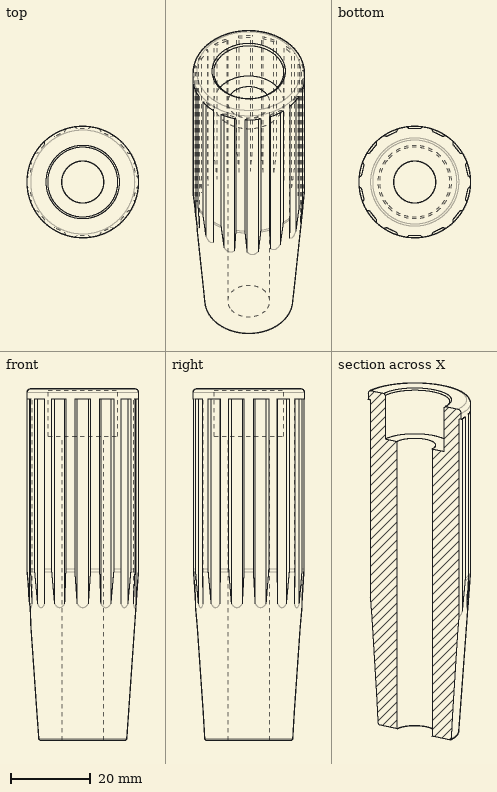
import cadquery as cq
import math

length = 88.0
body_radius = 14.0
taper_radians = math.radians(4.0)
taper_height = 42.5
taper_slope = math.tan(taper_radians)
bottom_radius = body_radius - taper_height * taper_slope
taper_blend = 10.0
top_fillet = 1.0
bottom_fillet = 0.5

hole_diameter = 10.5
counterbore_diameter = 17.5
counterbore_depth = 12.0
counterbore_chamfer = 0.4

groove_count = 14
groove_pitch = 360.0 / groove_count
groove_top = 85.45
groove_bottom = 33.2
groove_floor = bottom_radius + groove_bottom * taper_slope
groove_floor_width = 2.8
groove_mouth_width = 4.0
cutter_clearance = 0.9


def make_body():
    """Solid of revolution about Z with rounded rims."""
    blend_length = taper_blend * math.tan(taper_radians / 2)
    blend_start = taper_height - blend_length * math.cos(taper_radians)
    outline = (
        cq.Workplane("XZ")
        .moveTo(0, 0)
        .lineTo(bottom_radius, 0)
        .lineTo(body_radius - blend_length * math.sin(taper_radians), blend_start)
        .tangentArcPoint((body_radius, taper_height + blend_length), relative=False)
        .lineTo(body_radius, length)
        .lineTo(0, length)
        .close()
    )
    body = outline.revolve(360, (0, 0, 0), (0, 1, 0))
    body = body.faces(">Z").edges().fillet(top_fillet)
    return body.faces("<Z").edges().fillet(bottom_fillet)


def cut_bore(body):
    top_plane = body.faces(">Z").workplane()
    bored = top_plane.cboreHole(hole_diameter, counterbore_diameter, counterbore_depth)
    counterbore_rim = bored.faces(">Z").edges(cq.selectors.RadiusNthSelector(0))
    return counterbore_rim.chamfer(counterbore_chamfer)


def make_groove_cutter():
    """Trapezoidal prism facing -Y; its walls keep their slope beyond the body surface."""
    mouth_distance = math.sqrt(body_radius**2 - (groove_mouth_width / 2) ** 2)
    wall_slope = (groove_mouth_width - groove_floor_width) / (mouth_distance - groove_floor)
    outer_distance = body_radius + cutter_clearance
    outer_width = groove_floor_width + wall_slope * (outer_distance - groove_floor)
    cutter_bottom = groove_bottom - cutter_clearance
    return (
        cq.Workplane("XY", origin=(0, 0, cutter_bottom))
        .moveTo(-groove_floor_width / 2, -groove_floor)
        .lineTo(groove_floor_width / 2, -groove_floor)
        .lineTo(outer_width / 2, -outer_distance)
        .lineTo(-outer_width / 2, -outer_distance)
        .close()
        .extrude(groove_top - cutter_bottom)
    )


result = cut_bore(make_body())
groove_cutter = make_groove_cutter()
for index in range(groove_count):
    result = result.cut(groove_cutter.rotate((0, 0, 0), (0, 0, 1), index * groove_pitch))